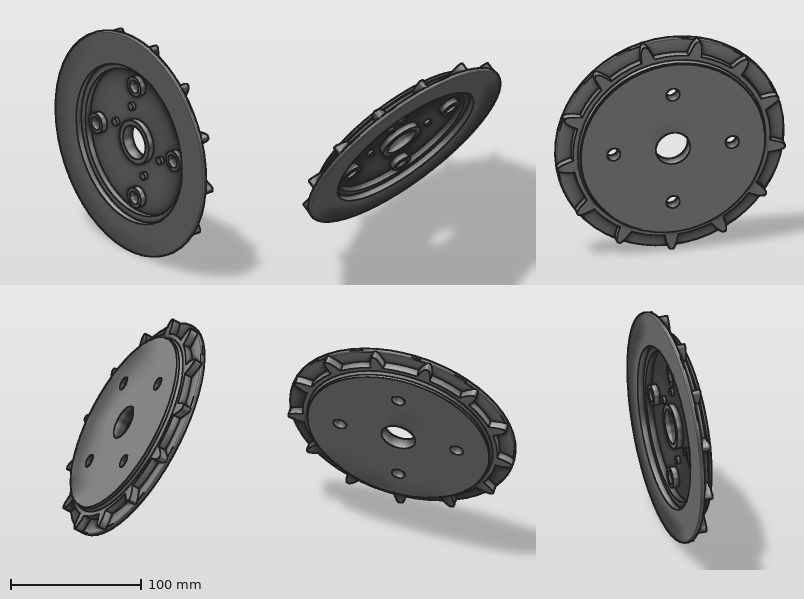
import cadquery as cq
import math

rim_radius = 90.0
rim_thickness = 3.5
rim_fillet = 0.9

vane_count = 13
root_radius = 77.8
vane_root_half_width = 5.2
vane_tip_radius = 2.5
vane_top = 9.7

boss_radius = 145.0 / 2
boss_foot_radius = 74.0
boss_foot_end = 12.2
total_depth = 14.5

recess_radius = 128.0 / 2
ledge_depth = 5.0
inner_recess_radius = 118.0 / 2
floor_depth = 10.0

bore_radius = 27.0 / 2
collar_radius = 35.0 / 2
collar_front = 5.0

post_count = 4
post_radius = 16.0 / 2
post_hole_radius = 10.5 / 2
post_circle_radius = 46.6
post_front = 5.0

pin_radius = 6.0 / 2
pin_circle_radius = 27.7
pin_front = 7.4
pin_angles = [105, 165, 285, 345]


def polar(radius, angle):
    """X, Z position at an angle in degrees from +X towards +Z."""
    return radius * math.cos(math.radians(angle)), radius * math.sin(math.radians(angle))


def cylinder(radius, front, back, centre=(0, 0)):
    """Cylinder along Y between two depths, centred at X, Z."""
    x, z = centre
    solid = cq.Solid.makeCylinder(radius, back - front, cq.Vector(x, front, z), cq.Vector(0, 1, 0))
    return cq.Workplane(solid)


def make_rim():
    """Disc with both outer edges rounded."""
    rim = cylinder(rim_radius, 0, rim_thickness)
    return rim.edges().fillet(rim_fillet)


def make_vane():
    """Tapered vane pointing along -Z, each flank one smooth curve running into the rounded tip."""
    tip_centre = rim_radius - vane_tip_radius
    root = math.sqrt(root_radius**2 - vane_root_half_width**2)
    length = tip_centre - root
    span = math.hypot(length, vane_root_half_width)
    touch_angle = math.acos(vane_tip_radius / span) - math.atan2(length, vane_root_half_width)
    mid_angle = (touch_angle + math.pi / 2) / 2

    def tip_point(angle):
        return vane_tip_radius * math.cos(angle), -tip_centre - vane_tip_radius * math.sin(angle)

    flank_points = [tip_point(touch_angle), tip_point(mid_angle), (0, -rim_radius)]
    flank_direction = (-math.sin(touch_angle), -math.cos(touch_angle))
    half_vane = (
        cq.Workplane("XZ")
        .workplane(offset=-rim_fillet)
        .moveTo(0, 0)
        .lineTo(vane_root_half_width, -root)
        .spline(flank_points, tangents=[flank_direction, (-1, 0)], includeCurrent=True)
        .close()
        .extrude(-(vane_top - rim_fillet))
    )
    return half_vane.union(half_vane.mirror("YZ"))


def make_vaned_drum():
    """Drum with evenly spaced vanes, starting with one pointing along -Z."""
    drum = cylinder(root_radius, rim_fillet, vane_top)
    vane = make_vane()
    for i in range(vane_count):
        drum = drum.union(vane.rotate((0, 0, 0), (0, 1, 0), i * 360 / vane_count))
    return drum


def make_boss():
    """Rear boss with a conical foot where it rises from the drum."""
    return (
        cq.Workplane("XY")
        .moveTo(0, rim_thickness)
        .lineTo(boss_foot_radius, rim_thickness)
        .lineTo(boss_foot_radius, vane_top)
        .lineTo(boss_radius, boss_foot_end)
        .lineTo(boss_radius, total_depth)
        .lineTo(0, total_depth)
        .close()
        .revolve(360, (0, 0), (0, 1))
    )


post_centres = [polar(post_circle_radius, i * 360 / post_count) for i in range(post_count)]
pin_centres = [polar(pin_circle_radius, angle) for angle in pin_angles]

body = make_rim().union(make_vaned_drum()).union(make_boss())

body = body.cut(cylinder(recess_radius, 0, ledge_depth))
body = body.cut(cylinder(inner_recess_radius, 0, floor_depth))

body = body.union(cylinder(collar_radius, collar_front, total_depth))
for centre in post_centres:
    body = body.union(cylinder(post_radius, post_front, total_depth, centre))
for centre in pin_centres:
    body = body.union(cylinder(pin_radius, pin_front, total_depth, centre))

body = body.cut(cylinder(bore_radius, 0, total_depth))
for centre in post_centres:
    body = body.cut(cylinder(post_hole_radius, 0, total_depth, centre))

result = body